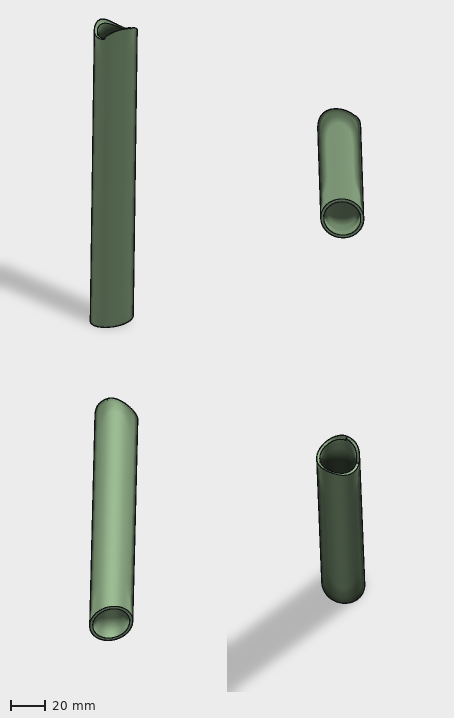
import cadquery as cq
import math

height = 180.0
outer_diameter = 25.0
wall = 1.8
lean = 3.5
outer_radius = outer_diameter / 2
bottom_y = -lean / 2
top_y = lean / 2

foot_angle = 10.5
foot_rise = outer_diameter * math.tan(math.radians(foot_angle))

saddle_depth = 6.7
shoulder_start_x = 2.3
shoulder_mid_x = 6.1
shoulder_mid_drop = 2.5
shoulder_end_x = 11.2
saddle_radius = (outer_radius**2 + saddle_depth**2) / (2 * saddle_depth)
saddle_center_z = height - saddle_depth + saddle_radius

margin = 18.0
reach = outer_radius + margin


def leaning_cylinder(radius):
    """Cylinder along the tube axis, overlong at both ends."""
    axis = cq.Vector(0, lean, height)
    overrun = axis.normalized() * margin
    start = cq.Vector(0, bottom_y, 0) - overrun
    return cq.Workplane(cq.Solid.makeCylinder(radius, axis.Length + 2 * margin, start, axis))


def body_below_foot():
    """Everything under the slanted foot plane."""
    front_y = bottom_y - outer_radius
    back_y = bottom_y + outer_radius
    slope = foot_rise / outer_diameter
    return (
        cq.Workplane("YZ")
        .moveTo(front_y - margin, -margin * slope)
        .lineTo(back_y + margin, foot_rise + margin * slope)
        .lineTo(back_y + margin, -2 * margin)
        .lineTo(front_y - margin, -2 * margin)
        .close()
        .extrude(reach, both=True)
    )


def saddle_cutter():
    """Round saddle running along Y, together with the waste above the tube."""
    saddle = (
        cq.Workplane("XZ", origin=(0, top_y, 0))
        .center(0, saddle_center_z)
        .circle(saddle_radius)
        .extrude(reach, both=True)
    )
    waste = cq.Workplane().box(2 * reach, 2 * reach, 2 * margin, centered=(True, True, False))
    return saddle.union(waste.translate((0, top_y, height)))


def shoulder():
    """Material kept from the saddle under a convex arc on the +X, -Y quarter."""
    saddle_drop = saddle_radius - math.sqrt(saddle_radius**2 - shoulder_start_x**2)
    start_z = height - saddle_depth + saddle_drop
    return (
        cq.Workplane("XZ", origin=(0, top_y, 0))
        .moveTo(shoulder_start_x, start_z)
        .threePointArc((shoulder_mid_x, height - shoulder_mid_drop), (shoulder_end_x, height))
        .lineTo(reach, height)
        .lineTo(reach, height - 2 * saddle_depth)
        .lineTo(shoulder_start_x, height - 2 * saddle_depth)
        .close()
        .extrude(reach)
    )


tube = leaning_cylinder(outer_radius).cut(leaning_cylinder(outer_radius - wall))
mouth = saddle_cutter().cut(shoulder())
result = tube.cut(body_below_foot()).cut(mouth)